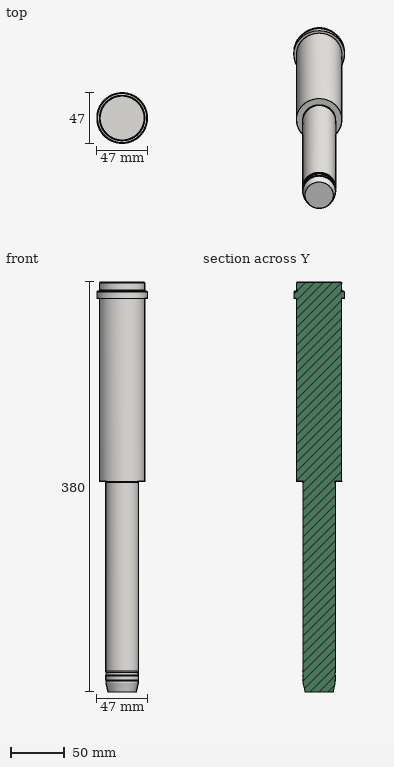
import cadquery as cq

height = 380.0
collar_diameter = 47.0
sleeve_diameter = 42.0
pin_diameter = 30.8
guide_diameter = 30.0
tip_diameter = 26.2

sleeve_length = 184.5
collar_top_drop = 8.5
collar_thickness = 7.0
tip_length = 8.0
guide_length = 2.3
land_length = 3.5
groove_floor_length = 2.3

edge_chamfer = 0.8
relief_width = 1.0
relief_depth = 0.8
slope_length = 1.0


def cylinder(diameter, bottom, top):
    """Solid cylinder on the Z axis between two heights."""
    return cq.Workplane("XY").workplane(offset=bottom).circle(diameter / 2).extrude(top - bottom)


def relief_groove(diameter, bottom):
    """Ring that cuts a narrow relief groove into a cylinder of the given diameter."""
    top = bottom + relief_width
    return cylinder(diameter, bottom, top).cut(cylinder(diameter - 2 * relief_depth, bottom, top))


def grooved_pin(top):
    """Pin with a conical tip, a slightly smaller guide and one slope-walled groove."""
    pin_radius = pin_diameter / 2
    guide_radius = guide_diameter / 2
    guide_top = tip_length + guide_length
    land_bottom = guide_top + slope_length
    land_top = land_bottom + land_length
    floor_bottom = land_top + slope_length
    floor_top = floor_bottom + groove_floor_length
    outline = [
        (0, 0),
        (tip_diameter / 2, 0),
        (guide_radius, tip_length),
        (guide_radius, guide_top),
        (pin_radius, land_bottom),
        (pin_radius, land_top),
        (guide_radius, floor_bottom),
        (guide_radius, floor_top),
        (pin_radius, floor_top + slope_length),
        (pin_radius, top),
        (0, top),
    ]
    return cq.Workplane("XZ").polyline(outline).close().revolve(360, (0, 0), (0, 1))


sleeve_bottom = height - sleeve_length
collar_top = height - collar_top_drop
sleeve = cylinder(sleeve_diameter, sleeve_bottom, height).faces(">Z").edges().chamfer(edge_chamfer)
sleeve = sleeve.cut(relief_groove(sleeve_diameter, collar_top))

collar = cylinder(collar_diameter, collar_top - collar_thickness, collar_top)
collar = collar.faces(">Z").edges().chamfer(edge_chamfer)

pin = grooved_pin(sleeve_bottom).cut(relief_groove(pin_diameter, sleeve_bottom - relief_width))

result = sleeve.union(collar).union(pin)